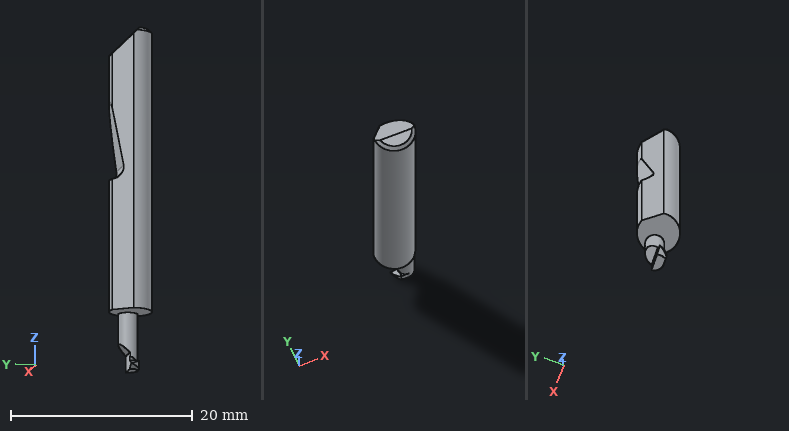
import cadquery as cq
import math

total_length = 38.1
neck_length = 6.35

shank_radius = 2.38
top_chamfer = 0.4
side_flat_distance = 2.0
side_flat_direction = 143.0
bevel_drop = 2.97

notch_floor_z = 21.1
notch_radius = 1.25
notch_ramp_angle = 9.5

neck_radius = 1.07
neck_x = shank_radius - neck_radius
rake_top_z = 1.85
relief_rise = 0.36
relief_depth = 0.22

tooth_tip_x = -0.44
tooth_tip_z = 0.54
tooth_tip_width = 0.06
tooth_half_angle = 27
tooth_top_z = 1.03
tooth_heel_x = 0.4
tooth_relief_radius = 2.7

margin = 1.0


def prism_along_x(outline):
    """Cutting body with a (y, z) outline, spanning the whole width of the shank."""
    half_width = shank_radius + margin
    return cq.Workplane("YZ", origin=(-half_width, 0, 0)).polyline(outline).close().extrude(2 * half_width)


def make_shank():
    shank_length = total_length - neck_length
    shank = (
        cq.Workplane("XY", origin=(0, 0, neck_length))
        .circle(shank_radius)
        .extrude(shank_length)
        .faces(">Z")
        .chamfer(top_chamfer)
    )
    side_cut = (
        cq.Workplane("XY")
        .rect(2 * shank_radius, 4 * shank_radius)
        .extrude(total_length)
        .translate((side_flat_distance + shank_radius, 0, 0))
        .rotate((0, 0, 0), (0, 0, 1), side_flat_direction)
    )
    outer_y = shank_radius + margin
    bevel = prism_along_x([
        (outer_y, total_length - bevel_drop - margin),
        (outer_y, total_length + margin),
        (shank_radius - bevel_drop - margin, total_length + margin),
    ])
    return shank.cut(side_cut).cut(bevel).cut(make_notch())


def make_notch():
    """Round-bottomed notch whose upper wall is a shallow ramp tangent to the round end."""
    ramp = math.radians(notch_ramp_angle)
    center_y = shank_radius
    center_z = notch_floor_z + notch_radius
    tangent_y = center_y - notch_radius * math.cos(ramp)
    tangent_z = center_z + notch_radius * math.sin(ramp)
    outer_y = shank_radius + margin
    ramp_end_z = tangent_z + (outer_y - tangent_y) / math.tan(ramp)
    middle_angle = (ramp - math.pi / 2) / 2
    arc_middle = (
        center_y - notch_radius * math.cos(middle_angle),
        center_z + notch_radius * math.sin(middle_angle),
    )
    half_width = shank_radius + margin
    return (
        cq.Workplane("YZ", origin=(-half_width, 0, 0))
        .moveTo(outer_y, notch_floor_z)
        .lineTo(center_y, notch_floor_z)
        .threePointArc(arc_middle, (tangent_y, tangent_z))
        .lineTo(outer_y, ramp_end_z)
        .close()
        .extrude(2 * half_width)
    )


def make_neck():
    """Round neck, halved at its lower end to form the cutting face, undercut above the tooth."""
    neck = cq.Workplane("XY").center(neck_x, 0).circle(neck_radius).extrude(neck_length)
    outer_y = neck_radius + margin
    rake_cut = prism_along_x([
        (0, -margin),
        (0, rake_top_z),
        (outer_y, rake_top_z + outer_y),
        (outer_y, -margin),
    ])
    neck_left = neck_x - neck_radius
    undercut = (
        cq.Workplane("XZ", origin=(0, outer_y, 0))
        .moveTo(neck_left, -margin)
        .lineTo(neck_left, tooth_top_z + relief_rise)
        .lineTo(neck_left + relief_depth, tooth_top_z)
        .lineTo(neck_left + relief_depth, -margin)
        .close()
        .extrude(2 * outer_y)
    )
    return neck.cut(rake_cut).cut(undercut)


def make_tooth():
    """Pointed profile in XZ, trimmed by a rounded relief behind the cutting edge."""
    flank = math.tan(math.radians(tooth_half_angle))
    tip_top_z = tooth_tip_z + tooth_tip_width / 2
    tip_bottom_z = tooth_tip_z - tooth_tip_width / 2
    profile = (
        cq.Workplane("XZ")
        .moveTo(tooth_tip_x, tip_bottom_z)
        .lineTo(tooth_tip_x, tip_top_z)
        .lineTo(tooth_tip_x + (tooth_top_z - tip_top_z) / flank, tooth_top_z)
        .lineTo(neck_x, tooth_top_z)
        .lineTo(neck_x, 0)
        .lineTo(tooth_tip_x + tip_bottom_z / flank, 0)
        .close()
        .extrude(neck_radius)
    )
    footprint = (
        cq.Workplane("XY")
        .moveTo(tooth_tip_x, 0)
        .lineTo(neck_x, 0)
        .lineTo(neck_x, -neck_radius)
        .lineTo(tooth_heel_x, -neck_radius)
        .radiusArc((tooth_tip_x, 0), tooth_relief_radius)
        .close()
        .extrude(tooth_top_z)
    )
    return profile.intersect(footprint)


result = make_shank().union(make_neck()).union(make_tooth())